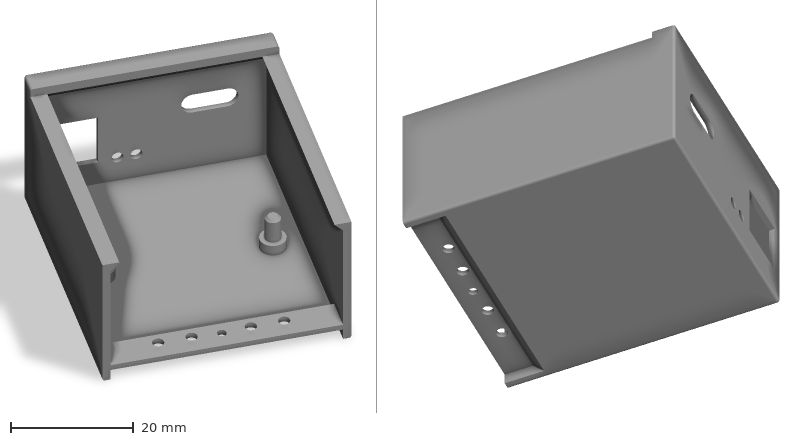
import cadquery as cq

LENGTH = 48.5
WIDTH = 42.0
HEIGHT = 26.0
WALL = 1.4
FLOOR = 1.0
EDGE_RADIUS = 0.5

RIM_HEIGHT = 24.4
SIDE_LIP_WIDTH = 2.85
SIDE_LIP_DROP = 1.5
FRONT_THICKNESS = 1.0
FRONT_LIP_WIDTH = 4.03

LEDGE_HEIGHT = 3.0
LEDGE_START = 41.05
LEDGE_SLOPE_RUN = 1.95
LEDGE_HOLLOW_SETBACK = 0.45
LEDGE_HOLE_X = 44.95
LEDGE_HOLE_DIAMETER = 2.0
LEDGE_HOLE_OFFSETS = (5.0, 10.6)
LEDGE_SLOT_X = 45.35
LEDGE_SLOT_LENGTH = 1.65
LEDGE_SLOT_WIDTH = 1.5

PIN_X = 23.95
PIN_OFFSET = 14.45
PIN_DIAMETER = 2.7
PIN_TOP = 7.55
PIN_CHAMFER = 0.5
PEDESTAL_DIAMETER = 4.5
PEDESTAL_TOP = 3.0

SLOT_CENTER = (10.1, 14.5)
SLOT_LENGTH = 9.6
SLOT_WIDTH = 3.75
WINDOW_CENTER = (-13.75, 10.3)
WINDOW_WIDTH = 10.0
WINDOW_HEIGHT = 9.4
PANEL_HOLE_Z = 5.85
PANEL_HOLE_YS = (-2.3, -5.5)
PANEL_HOLE_DIAMETER = 2.0


def outer_block():
    block = cq.Workplane("XY").box(LENGTH, WIDTH, HEIGHT, centered=(False, True, False))
    block = block.edges("|X or <X").fillet(EDGE_RADIUS)
    rim_cut = cq.Workplane("XY").box(
        LENGTH - FRONT_LIP_WIDTH, WIDTH, HEIGHT - RIM_HEIGHT, centered=(False, True, False)
    )
    return block.cut(rim_cut.translate((FRONT_LIP_WIDTH, 0, RIM_HEIGHT)))


def side_section_cavity():
    """Inside space between the side walls, narrowing under their lips."""
    inner = WIDTH / 2 - WALL
    mouth = WIDTH / 2 - SIDE_LIP_WIDTH
    lip_bottom = RIM_HEIGHT - SIDE_LIP_DROP
    outline = [
        (-inner, 0),
        (inner, 0),
        (inner, lip_bottom),
        (mouth, RIM_HEIGHT),
        (mouth, HEIGHT),
        (-mouth, HEIGHT),
        (-mouth, RIM_HEIGHT),
        (-inner, lip_bottom),
    ]
    return cq.Workplane("YZ").polyline(outline).close().extrude(LENGTH)


def length_section_cavity():
    """Inside space above the floor and ledge, behind the front panel and its lip."""
    lip_drop = FRONT_LIP_WIDTH - FRONT_THICKNESS
    outline = [
        (FRONT_THICKNESS, FLOOR),
        (LEDGE_START, FLOOR),
        (LEDGE_START + LEDGE_SLOPE_RUN, LEDGE_HEIGHT),
        (LENGTH, LEDGE_HEIGHT),
        (LENGTH, HEIGHT),
        (FRONT_LIP_WIDTH, HEIGHT),
        (FRONT_LIP_WIDTH, RIM_HEIGHT),
        (FRONT_THICKNESS, RIM_HEIGHT - lip_drop),
    ]
    section = cq.Workplane("XZ").polyline(outline).close()
    return section.extrude(WIDTH / 2, both=True)


def ledge_hollow():
    """Space under the ledge, between the side walls and open at the end."""
    ceiling = LEDGE_HEIGHT - FLOOR
    slope_top = LEDGE_START + LEDGE_SLOPE_RUN + LEDGE_HOLLOW_SETBACK
    outline = [
        (slope_top - LEDGE_SLOPE_RUN, 0),
        (slope_top, ceiling),
        (LENGTH, ceiling),
        (LENGTH, 0),
    ]
    section = cq.Workplane("XZ").polyline(outline).close()
    return section.extrude(WIDTH / 2 - WALL, both=True)


def locating_pin(y):
    pedestal = cq.Workplane("XY").circle(PEDESTAL_DIAMETER / 2).extrude(PEDESTAL_TOP)
    pin = cq.Workplane("XY").circle(PIN_DIAMETER / 2).extrude(PIN_TOP)
    pin = pin.faces(">Z").chamfer(PIN_CHAMFER)
    above_floor = cq.Workplane("XY").box(
        PEDESTAL_DIAMETER, PEDESTAL_DIAMETER, PIN_TOP, centered=(True, True, False)
    )
    post = pedestal.union(pin).intersect(above_floor.translate((0, 0, FLOOR / 2)))
    return post.translate((PIN_X, y, 0))


def ledge_openings():
    points = [(LEDGE_HOLE_X, side * y) for y in LEDGE_HOLE_OFFSETS for side in (-1, 1)]
    holes = cq.Workplane("XY").pushPoints(points).circle(LEDGE_HOLE_DIAMETER / 2).extrude(LEDGE_HEIGHT)
    slot = cq.Workplane("XY").center(LEDGE_SLOT_X, 0)
    slot = slot.slot2D(LEDGE_SLOT_LENGTH, LEDGE_SLOT_WIDTH).extrude(LEDGE_HEIGHT)
    return holes.union(slot)


def panel_openings():
    plane = cq.Workplane("YZ")
    slot = plane.center(*SLOT_CENTER).slot2D(SLOT_LENGTH, SLOT_WIDTH).extrude(FRONT_LIP_WIDTH)
    window = plane.center(*WINDOW_CENTER).rect(WINDOW_WIDTH, WINDOW_HEIGHT).extrude(FRONT_LIP_WIDTH)
    hole_points = [(y, PANEL_HOLE_Z) for y in PANEL_HOLE_YS]
    holes = plane.pushPoints(hole_points).circle(PANEL_HOLE_DIAMETER / 2).extrude(FRONT_LIP_WIDTH)
    return slot.union(window).union(holes)


cavity = side_section_cavity().intersect(length_section_cavity())
result = outer_block().cut(cavity).cut(ledge_hollow())
result = result.cut(ledge_openings()).cut(panel_openings())
for pin_y in (-PIN_OFFSET, PIN_OFFSET):
    result = result.union(locating_pin(pin_y))